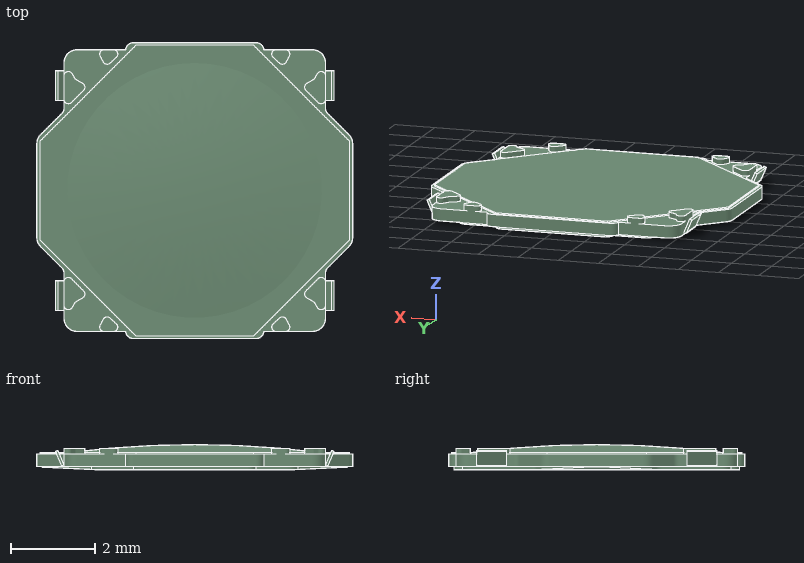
import cadquery as cq
import math

LENGTH = 7.5
WIDTH = 7.03
HEIGHT = 0.6
TOP_Z = HEIGHT / 2
BOTTOM_Z = -HEIGHT / 2
BODY_TOP_Z = 0.075
BODY_BOTTOM_Z = -0.225

OCTAGON_REACH = 4.99
OCTAGON_RADIUS = 0.3
PAD_X = 3.105
PAD_Y = 3.345
PAD_RADIUS = 0.315
TAB_X = 1.64
TAB_RADIUS = 0.19
INNER_RADIUS = 0.17

LID_TOP_Z = 0.105
LID_X = 3.67
LID_Y = 3.45
LID_REACH = 4.845
DOME_RADIUS = 3.02

BASE_PAD_X = 2.45
BASE_PAD_Y = 3.19
BASE_PAD_RADIUS = 0.24
BASE_TAB_X = 1.455
BASE_TAB_Y = 3.39
TONGUE_X = 3.63
TONGUE_REACH = 3.92
TAPER_START_X = 2.37
TONGUE_TIP_THICKNESS = 0.015

STOP_TOP_Z = 0.21
STOP_RADIUS = 0.105
SIDE_STOP = [(-PAD_X, 3.105), (-2.835, 2.65), (-2.54, 2.475), (-PAD_X, 1.91)]
EDGE_STOP = [(-2.325, PAD_Y), (-1.665, PAD_Y), (-2.11, 2.93)]

CLIP_SECTION = [(-3.31, 0.135), (-3.25, 0.16), (-3.09, -0.22), (-3.165, -0.195)]
CLIP_Y_MIN = 2.14
CLIP_Y_MAX = 2.85


def octagon(half_x, half_y, reach, z_min, z_max):
    """Prism with 45-degree corners lying on |x| + |y| = reach."""
    corner_x = reach - half_y
    corner_y = reach - half_x
    points = [
        (half_x, -corner_y), (half_x, corner_y), (corner_x, half_y), (-corner_x, half_y),
        (-half_x, corner_y), (-half_x, -corner_y), (-corner_x, -half_y), (corner_x, -half_y),
    ]
    return cq.Workplane("XY").workplane(offset=z_min).polyline(points).close().extrude(z_max - z_min)


def rounded_plate(half_x, half_y, radius, z_min, z_max):
    plate = cq.Workplane("XY").workplane(offset=z_min).rect(2 * half_x, 2 * half_y)
    return plate.extrude(z_max - z_min).edges("|Z").fillet(radius)


def fillet_uprights(solid, x, y, radius):
    """Round the four vertical edges at (+-x, +-y)."""
    margin = 0.02
    for sign_x in (-1, 1):
        for sign_y in (-1, 1):
            low = (sign_x * x - margin, sign_y * y - margin, BOTTOM_Z)
            high = (sign_x * x + margin, sign_y * y + margin, TOP_Z)
            solid = solid.edges("|Z").edges(cq.selectors.BoxSelector(low, high)).fillet(radius)
    return solid


def make_body():
    levels = (BODY_BOTTOM_Z, BODY_TOP_Z)
    body = octagon(LENGTH / 2, PAD_Y, OCTAGON_REACH, *levels)
    body = fillet_uprights(body, LENGTH / 2, OCTAGON_REACH - LENGTH / 2, OCTAGON_RADIUS)
    body = body.union(rounded_plate(PAD_X, PAD_Y, PAD_RADIUS, *levels))
    body = fillet_uprights(body, PAD_X, OCTAGON_REACH - PAD_X, INNER_RADIUS)
    return body.union(rounded_plate(TAB_X, WIDTH / 2, TAB_RADIUS, *levels))


def make_dome():
    """Spherical cap, revolved from its half section."""
    rise = TOP_Z - LID_TOP_Z
    sphere_radius = (DOME_RADIUS**2 + rise**2) / (2 * rise)
    middle_y = DOME_RADIUS / 2
    middle_z = TOP_Z - sphere_radius + math.sqrt(sphere_radius**2 - middle_y**2)
    section = (
        cq.Workplane("YZ")
        .moveTo(0, BODY_TOP_Z)
        .lineTo(DOME_RADIUS, BODY_TOP_Z)
        .lineTo(DOME_RADIUS, LID_TOP_Z)
        .threePointArc((middle_y, middle_z), (0, TOP_Z))
        .close()
    )
    return section.revolve(360, (0, 0, 0), (0, 1, 0))


def make_base():
    levels = (BOTTOM_Z, BODY_BOTTOM_Z)
    root_y = TONGUE_REACH - BASE_PAD_X
    tongues = octagon(TONGUE_X, root_y, TONGUE_REACH, *levels)
    base = rounded_plate(BASE_PAD_X, BASE_PAD_Y, BASE_PAD_RADIUS, *levels).union(tongues)
    base = fillet_uprights(base, BASE_PAD_X, root_y, INNER_RADIUS)
    base = base.union(rounded_plate(BASE_TAB_X, BASE_TAB_Y, TAB_RADIUS, *levels))
    taper = (
        cq.Workplane("XZ")
        .polyline([
            (TAPER_START_X, BOTTOM_Z),
            (TONGUE_X, BODY_BOTTOM_Z - TONGUE_TIP_THICKNESS),
            (TONGUE_X, BOTTOM_Z),
        ])
        .close()
        .extrude(WIDTH / 2, both=True)
    )
    return base.cut(taper).cut(taper.mirror("YZ"))


def make_stop(outline):
    stop = cq.Workplane("XY").workplane(offset=BODY_TOP_Z).polyline(outline).close()
    return stop.extrude(STOP_TOP_Z - BODY_TOP_Z).edges("|Z").fillet(STOP_RADIUS)


def make_clip():
    clip = cq.Workplane("XZ", origin=(0, CLIP_Y_MAX, 0)).polyline(CLIP_SECTION).close()
    return clip.extrude(CLIP_Y_MAX - CLIP_Y_MIN)


result = make_body()
result = result.union(octagon(LID_X, LID_Y, LID_REACH, BODY_TOP_Z, LID_TOP_Z))
result = result.union(make_dome())
result = result.union(make_base())

for corner_part in (make_stop(SIDE_STOP), make_stop(EDGE_STOP), make_clip()):
    left_pair = corner_part.union(corner_part.mirror("XZ"))
    result = result.union(left_pair).union(left_pair.mirror("YZ"))